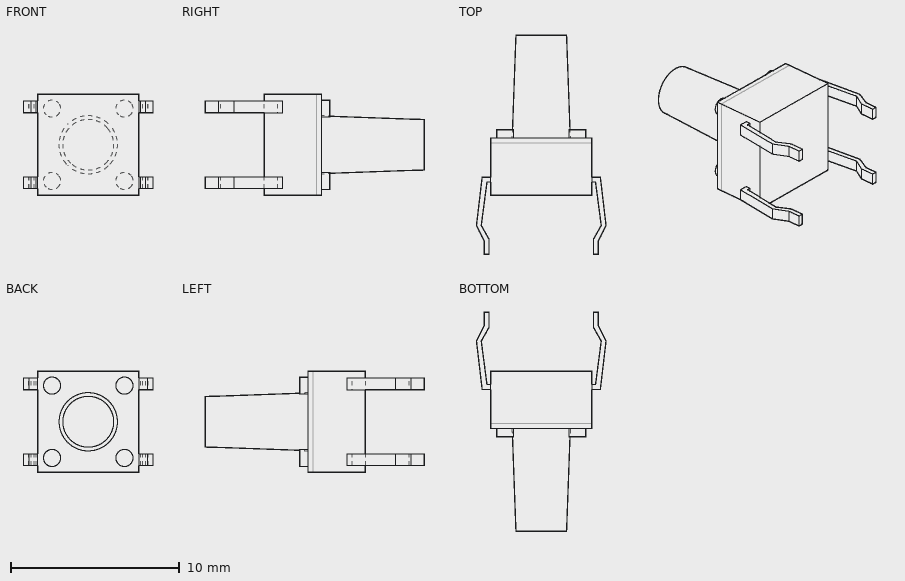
import cadquery as cq

total_length = 13.0
overall_width = 7.7
body_side = 6.0
body_depth = 3.4
cover_thickness = 0.31

button_base_radius = 1.73
button_tip_radius = 1.51

peg_radius = 0.51
peg_height = 0.5
peg_offset = 2.15

leg_thickness = 0.3
leg_width = 0.7
leg_offset_z = 2.25
leg_length = 3.5
shoulder_x = 3.51
shoulder_y = 1.09
knee_x = overall_width / 2
knee_y = -1.78
ankle_x = 3.39
ankle_y = -2.69
ankle_rise = 0.1

button_length = total_length - leg_length - body_depth


def facing_plus_y(y):
    """Workplane at height y whose normal is +Y."""
    return cq.Workplane(cq.Plane(origin=(0, y, 0), xDir=(1, 0, 0), normal=(0, 1, 0)))


def make_body():
    base_depth = body_depth - cover_thickness
    base = facing_plus_y(0).rect(body_side, body_side).extrude(base_depth)
    cover = facing_plus_y(base_depth).rect(body_side, body_side).extrude(cover_thickness)
    return base.union(cover, clean=False)


def make_button():
    return (
        facing_plus_y(body_depth)
        .circle(button_base_radius)
        .workplane(offset=button_length)
        .circle(button_tip_radius)
        .loft(ruled=True)
    )


def make_pegs():
    return (
        facing_plus_y(body_depth)
        .rect(2 * peg_offset, 2 * peg_offset, forConstruction=True)
        .vertices()
        .circle(peg_radius)
        .extrude(peg_height)
    )


def make_leg(z):
    """Leg on the +X side, centred at height z: out, down to the knee, back in, then straight."""
    outline = [
        (body_side / 2, shoulder_y),
        (shoulder_x, shoulder_y),
        (knee_x, knee_y),
        (ankle_x, ankle_y),
        (ankle_x, -leg_length),
        (ankle_x - leg_thickness, -leg_length),
        (ankle_x - leg_thickness, ankle_y + ankle_rise),
        (knee_x - leg_thickness, knee_y),
        (shoulder_x - leg_thickness, shoulder_y - leg_thickness),
        (body_side / 2, shoulder_y - leg_thickness),
    ]
    profile = cq.Workplane("XY").workplane(offset=z - leg_width / 2).polyline(outline).close()
    return profile.extrude(leg_width)


result = make_body()
for feature in (make_button(), make_pegs()):
    result = result.union(feature, clean=False)
for leg_z in (-leg_offset_z, leg_offset_z):
    leg = make_leg(leg_z)
    result = result.union(leg, clean=False)
    result = result.union(leg.mirror("YZ"), clean=False)